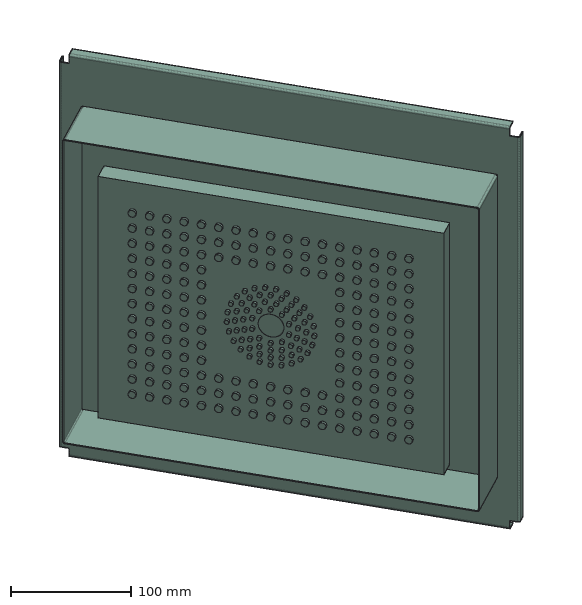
import cadquery as cq
import math

SHEET = 1.0
BEND_RADIUS = 2.0

PLATE_SIDE = 400.0
RIM_DEPTH = 9.5
CORNER_NOTCH = 9.0

FRAME_X = 361.5
FRAME_Z = 302.5
FRAME_DEPTH = 53.0

PANEL_X = 300.0
PANEL_Z = 240.0
PANEL_THICKNESS = 17.0

NOZZLE_HEIGHT = 2.5
GRID_WIDTH = 240.0
GRID_HALF_COLUMNS = 8
GRID_PITCH = GRID_WIDTH / (2 * GRID_HALF_COLUMNS)
GRID_HALF_ROWS = 6
GRID_HALF_GAP = 3
GRID_NOZZLE_DIAMETER = 7.0
RING_COUNT = 4
RING_FIRST_RADIUS = 17.0
RING_LAST_RADIUS = 38.0
RING_STEP = (RING_LAST_RADIUS - RING_FIRST_RADIUS) / (RING_COUNT - 1)
RING_FIRST_COUNT = 10
RING_COUNT_INCREMENT = 5
RING_NOZZLE_DIAMETER = 4.0

CAP_DIAMETER = 22.5

FRONT_Y = -FRAME_DEPTH
PANEL_BACK_Y = FRONT_Y + PANEL_THICKNESS


def plane_at(y):
    """XZ work plane at the given Y, extruding toward -Y."""
    return cq.Workplane("XZ", origin=(0, y, 0))


def make_plate():
    plate = (
        plane_at(RIM_DEPTH)
        .rect(PLATE_SIDE, PLATE_SIDE)
        .extrude(RIM_DEPTH)
        .faces("<Y")
        .edges()
        .fillet(BEND_RADIUS)
        .faces(">Y")
        .shell(-SHEET)
    )
    notches = (
        plane_at(RIM_DEPTH)
        .rect(PLATE_SIDE, PLATE_SIDE, forConstruction=True)
        .vertices()
        .rect(2 * CORNER_NOTCH, 2 * CORNER_NOTCH)
        .extrude(RIM_DEPTH)
    )
    return plate.cut(notches)


def make_frame():
    outer = (
        plane_at(0)
        .rect(FRAME_X, FRAME_Z)
        .extrude(FRAME_DEPTH)
        .edges("|Y")
        .fillet(BEND_RADIUS)
    )
    opening = (
        plane_at(0)
        .rect(FRAME_X - 2 * SHEET, FRAME_Z - 2 * SHEET)
        .extrude(FRAME_DEPTH)
        .edges("|Y")
        .fillet(BEND_RADIUS - SHEET)
    )
    return outer.cut(opening)


def grid_points():
    """Rectangular nozzle grid with a square gap around the centre."""
    points = []
    for column in range(-GRID_HALF_COLUMNS, GRID_HALF_COLUMNS + 1):
        for row in range(-GRID_HALF_ROWS, GRID_HALF_ROWS + 1):
            if max(abs(column), abs(row)) > GRID_HALF_GAP:
                points.append((column * GRID_PITCH, row * GRID_PITCH))
    return points


def ring_points():
    """Concentric nozzle rings, each with one nozzle straight below the centre."""
    points = []
    for ring in range(RING_COUNT):
        radius = RING_FIRST_RADIUS + ring * RING_STEP
        count = RING_FIRST_COUNT + RING_COUNT_INCREMENT * ring
        for index in range(count):
            angle = 2 * math.pi * index / count
            points.append((radius * math.sin(angle), -radius * math.cos(angle)))
    return points


def make_studs(points, diameter):
    return plane_at(FRONT_Y).pushPoints(points).circle(diameter / 2).extrude(NOZZLE_HEIGHT)


def make_cap():
    return plane_at(PANEL_BACK_Y).circle(CAP_DIAMETER / 2).extrude(PANEL_THICKNESS)


def make_panel(cap):
    panel = plane_at(PANEL_BACK_Y).rect(PANEL_X, PANEL_Z).extrude(PANEL_THICKNESS)
    grid_studs = make_studs(grid_points(), GRID_NOZZLE_DIAMETER)
    ring_studs = make_studs(ring_points(), RING_NOZZLE_DIAMETER)
    return panel.cut(cap).union(grid_studs).union(ring_studs)


plate = make_plate()
frame = make_frame()
cap = make_cap()
panel = make_panel(cap)

result = cq.Compound.makeCompound([plate.val(), frame.val(), panel.val(), cap.val()])